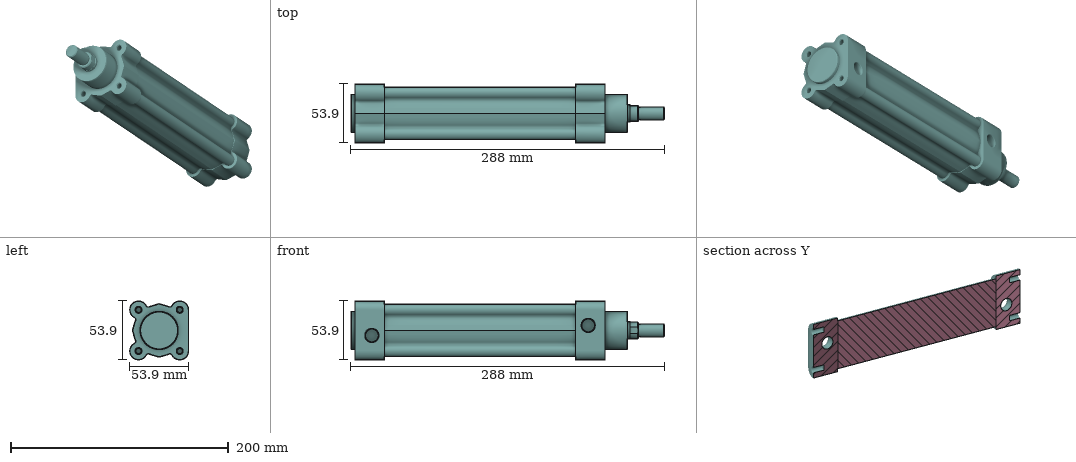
import cadquery as cq
import math

overall_length = 288.0
rear_boss_length = 3.7
cap_length = 27.0
barrel_length = 175.7
front_boss_length = 20.5

rear_cap_start = rear_boss_length
barrel_start = rear_cap_start + cap_length
front_cap_start = barrel_start + barrel_length
front_boss_start = front_cap_start + cap_length
front_boss_end = front_boss_start + front_boss_length

screw_circle_radius = 26.8
lobe_offset = screw_circle_radius / math.sqrt(2)

cap_body_radius = 23.5
cap_ridge_half_width = 6.5
cap_lobe_radius = 8.0
cap_fillet = 2.0
port_face_y = -(lobe_offset + cap_lobe_radius)
boss_radius = 17.5
rear_boss_chamfer_length = 0.5
rear_boss_chamfer_depth = 0.5
front_boss_chamfer_length = 1.5
front_boss_chamfer_depth = 0.3
screw_hole_diameter = 5.0
screw_hole_mouth_diameter = 6.3
screw_hole_depth = 11.5

port_diameter = 11.8
port_depth = 14.5
port_chamfer = 0.5
rear_port_x = 19.3
rear_port_z = -4.5
front_port_x = 218.0
front_port_z = 4.5

barrel_body_radius = 23.3
barrel_ridge_half_width = 4.5
barrel_lobe_radius = 5.2
barrel_fillet = 3.0

rod_radius = 8.0
rod_shoulder_x = 256.3
wrench_radius = 7.8
wrench_across_flats = 14.5
wrench_end_x = 264.0
wrench_chamfer = 1.0
thread_radius = 6.0
neck_radius = 5.5
thread_start_x = 266.0
tip_chamfer = 1.0


def polar(radius, angle, centre=(0, 0)):
    """Point (y, z) at a radius and angle from a centre."""
    return (centre[0] + radius * math.cos(angle), centre[1] + radius * math.sin(angle))


def fillet_angles(body_radius, lobe_radius, fillet):
    """Angles off the diagonal of a fillet that touches both the round body and the lobe.

    The first locates the fillet centre from the body axis, the second its contact with the lobe
    from the lobe centre.
    """
    to_body = body_radius + fillet
    to_lobe = lobe_radius + fillet
    at_body = (to_body**2 + screw_circle_radius**2 - to_lobe**2) / (2 * to_body * screw_circle_radius)
    at_lobe = (to_lobe**2 + screw_circle_radius**2 - to_body**2) / (2 * to_lobe * screw_circle_radius)
    return math.acos(at_body), math.pi - math.acos(at_lobe)


def lobed_section(body_radius, ridge_half_width, lobe_radius, fillet, start, length):
    """Prism along X: round body, a shallow ridge on each side, a filleted lobe on each diagonal."""
    ridge_angle = math.asin(ridge_half_width / body_radius)
    ridge_height = body_radius / math.cos(ridge_angle)
    body_spread, lobe_spread = fillet_angles(body_radius, lobe_radius, fillet)

    def fillet_middle(side, diagonal):
        """Middle of the fillet arc before (-1) or after (+1) a lobe."""
        centre = polar(body_radius + fillet, diagonal + side * body_spread)
        toward_middle = diagonal + side * (body_spread + lobe_spread) / 2 + math.pi
        return polar(fillet, toward_middle, centre)

    outline = cq.Workplane("YZ").workplane(offset=start).moveTo(ridge_height, 0)
    for quadrant in range(4):
        ridge = quadrant * math.pi / 2
        diagonal = ridge + math.pi / 4
        next_ridge = ridge + math.pi / 2
        lobe_centre = polar(screw_circle_radius, diagonal)

        first_angles = (ridge + ridge_angle, diagonal - body_spread)
        outline = outline.lineTo(*polar(body_radius, first_angles[0]))
        outline = outline.threePointArc(
            polar(body_radius, sum(first_angles) / 2), polar(body_radius, first_angles[1])
        )

        second_angles = (diagonal + body_spread, next_ridge - ridge_angle)
        outline = outline.threePointArc(
            fillet_middle(-1, diagonal), polar(lobe_radius, diagonal - lobe_spread, lobe_centre)
        )
        outline = outline.threePointArc(
            polar(lobe_radius, diagonal, lobe_centre),
            polar(lobe_radius, diagonal + lobe_spread, lobe_centre),
        )
        outline = outline.threePointArc(
            fillet_middle(1, diagonal), polar(body_radius, second_angles[0])
        )

        outline = outline.threePointArc(
            polar(body_radius, sum(second_angles) / 2), polar(body_radius, second_angles[1])
        )
        outline = outline.lineTo(*polar(ridge_height, next_ridge))
    return outline.close().extrude(length)


def revolved(profile):
    """Solid of revolution about the X axis from (x, radius) points."""
    return cq.Workplane("XY").polyline(profile).close().revolve(360, (0, 0, 0), (1, 0, 0))


def boss(inner_x, outer_x, chamfer_length, chamfer_depth):
    """Round spigot from the cap face to its chamfered outer face."""
    chamfer_x = outer_x - math.copysign(chamfer_length, outer_x - inner_x)
    return revolved(
        [
            (inner_x, 0),
            (inner_x, boss_radius),
            (chamfer_x, boss_radius),
            (outer_x, boss_radius - chamfer_depth),
            (outer_x, 0),
        ]
    )


def screw_holes(face_x, inward):
    """Four countersunk blind holes at the lobe centres, drilled from face_x; inward is +1 or -1 along X."""
    hole_radius = screw_hole_diameter / 2
    mouth_radius = screw_hole_mouth_diameter / 2
    hole = revolved(
        [
            (face_x, 0),
            (face_x, mouth_radius),
            (face_x + inward * (mouth_radius - hole_radius), hole_radius),
            (face_x + inward * screw_hole_depth, hole_radius),
            (face_x + inward * screw_hole_depth, 0),
        ]
    )
    holes = cq.Workplane("XY")
    for y in (-lobe_offset, lobe_offset):
        for z in (-lobe_offset, lobe_offset):
            holes = holes.add(hole.translate((0, y, z)))
    return holes.combine()


def port(x, z):
    """Cutter for a blind round port with a chamfered mouth, entering from the flat -Y face."""
    bore = cq.Workplane("XZ", origin=(x, port_face_y, z)).circle(port_diameter / 2).extrude(-port_depth)
    mouth = cq.Solid.makeCone(
        port_diameter / 2 + port_chamfer,
        port_diameter / 2,
        port_chamfer,
        pnt=cq.Vector(x, port_face_y, z),
        dir=cq.Vector(0, 1, 0),
    )
    return bore.union(cq.Workplane(mouth))


def cap_block(start):
    """Lobed cap body, filled out to a flat port face on the -Y side."""
    block = lobed_section(
        cap_body_radius,
        cap_ridge_half_width,
        cap_lobe_radius,
        cap_fillet,
        start,
        cap_length,
    )
    pad = cq.Workplane("XY").box(
        cap_length, cap_lobe_radius, 2 * lobe_offset, centered=(False, False, True)
    )
    return block.union(pad.translate((start, port_face_y, 0)))


def make_rear_cap():
    spigot = boss(rear_cap_start, 0, rear_boss_chamfer_length, rear_boss_chamfer_depth)
    cap = cap_block(rear_cap_start).union(spigot)
    cap = cap.cut(screw_holes(rear_cap_start, 1))
    return cap.cut(port(rear_port_x, rear_port_z))


def make_front_cap():
    spigot = boss(
        front_boss_start, front_boss_end, front_boss_chamfer_length, front_boss_chamfer_depth
    )
    cap = cap_block(front_cap_start).union(spigot)
    cap = cap.cut(screw_holes(front_boss_start, -1))
    cap = cap.cut(port(front_port_x, front_port_z))
    bore_length = front_boss_end - front_cap_start
    bore = cq.Workplane("YZ").workplane(offset=front_cap_start).circle(rod_radius).extrude(bore_length)
    return cap.cut(bore)


def make_barrel():
    return lobed_section(
        barrel_body_radius,
        barrel_ridge_half_width,
        barrel_lobe_radius,
        barrel_fillet,
        barrel_start,
        barrel_length,
    )


def make_rod():
    rod = revolved(
        [
            (front_cap_start, 0),
            (front_cap_start, rod_radius),
            (rod_shoulder_x, rod_radius),
            (rod_shoulder_x, wrench_radius),
            (wrench_end_x - wrench_chamfer, wrench_radius),
            (wrench_end_x, wrench_radius - wrench_chamfer),
            (wrench_end_x, neck_radius),
            (thread_start_x, thread_radius),
            (overall_length - tip_chamfer, thread_radius),
            (overall_length, thread_radius - tip_chamfer),
            (overall_length, 0),
        ]
    )
    flat_length = wrench_end_x - rod_shoulder_x
    for side in (-1, 1):
        cutter = cq.Workplane("XY").box(
            flat_length, wrench_radius, 2 * rod_radius, centered=(False, True, True)
        )
        cutter_y = side * (wrench_across_flats + wrench_radius) / 2
        rod = rod.cut(cutter.translate((rod_shoulder_x, cutter_y, 0)))
    return rod


rear_cap = make_rear_cap()
barrel = make_barrel()
front_cap = make_front_cap()
rod = make_rod()

result = cq.Compound.makeCompound([rear_cap.val(), barrel.val(), front_cap.val(), rod.val()])